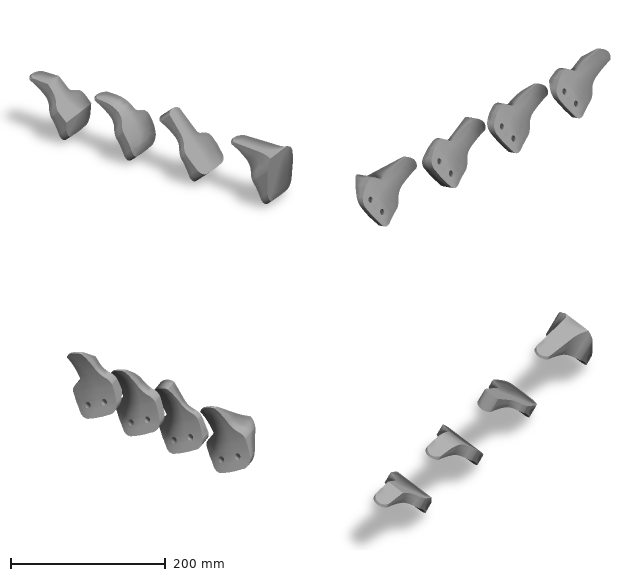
import cadquery as cq
import math

DEPTH_ANGLE = 43.0
COS = math.cos(math.radians(DEPTH_ANGLE))
SIN = math.sin(math.radians(DEPTH_ANGLE))

CHAMFERED_X = 0.0
ROUNDED_X = 100.0
FLAT_X = 200.0
SQUARE_X = 310.0

HALF_WIDTH = 30.37
TIP_ALONG = -47.8
FOOT_ALONG = 47.87
NECK_START_ALONG = -42.8
NECK_END_ALONG = -7.5
FOOT_CORNER_ALONG = 36.5

HOLLOW_RADIUS = 91.0
HOLLOW_DEPTH = -41.4
HOLLOW_ALONG = -0.6

HOLE_DIAMETER = 8.0
HOLE_SPACING = 25.4
HOLE_ALONG = 31.5
HOLE_MIDDLE_Y = 1.3
HOLE_FLOOR_DEPTH = -42.0

CHAMFER = 37.8
CHAMFERED_WALL_X = 0.3
ROUNDED_FOOT_X = 1.7
ROUNDED_START_X = -76.0
ROUNDED_CREST = [(-57.0, -0.2), (-39.0, -2.3), (-20.3, -14.8), (-4.1, -38.9)]
ROUNDED_FOOT_Z = -65.0
FLAT_BACK_DEPTH = -31.25
SQUARE_WALL_X = -0.5
LIP_TOP_Z = -65.0
LIP_X = 0.69

REACH = 120.0
START_DEPTH = -80.0


def pad_plane(depth):
    """Plane across the depth direction: local x runs tip to foot, local y is Y."""
    return cq.Plane(
        origin=(depth * COS, 0, depth * SIN),
        xDir=(SIN, 0, -COS),
        normal=(COS, 0, SIN),
    )


def outline_prism():
    """Narrow neck widening through an S-curve on each side into a rounded foot."""
    return (
        cq.Workplane(pad_plane(START_DEPTH))
        .moveTo(-44.6, -10.8)
        .threePointArc((TIP_ALONG, -0.8), (NECK_START_ALONG, 10.9))
        .lineTo(NECK_END_ALONG, 12.1)
        .threePointArc((-2.0, 13.9), (0.2, 18.5))
        .lineTo(2.2, 21.5)
        .threePointArc((5.9, 27.7), (13.0, HALF_WIDTH))
        .lineTo(24.0, HALF_WIDTH)
        .lineTo(FOOT_CORNER_ALONG, 28.0)
        .threePointArc((43.8, 24.4), (47.2, 17.0))
        .threePointArc((FOOT_ALONG, 4.0), (47.0, -15.5))
        .threePointArc((43.7, -25.3), (FOOT_CORNER_ALONG, -29.5))
        .threePointArc((24.0, -30.15), (11.0, -HALF_WIDTH))
        .threePointArc((5.0, -28.0), (0.2, -23.8))
        .threePointArc((-8.0, -18.0), (-18.4, -15.4))
        .lineTo(NECK_START_ALONG, -12.4)
        .close()
        .extrude(2 * REACH)
    )


def hollow():
    """Cylinder along Y that scoops the underside."""
    centre_depth = HOLLOW_DEPTH - HOLLOW_RADIUS
    centre_x = centre_depth * COS + HOLLOW_ALONG * SIN
    centre_z = centre_depth * SIN - HOLLOW_ALONG * COS
    return (
        cq.Workplane("XZ", origin=(centre_x, REACH / 2, centre_z))
        .circle(HOLLOW_RADIUS)
        .extrude(REACH)
    )


def holes():
    """Two blind holes along the depth direction, open at the underside."""
    return (
        cq.Workplane(pad_plane(HOLE_FLOOR_DEPTH))
        .pushPoints([(HOLE_ALONG, HOLE_MIDDLE_Y + side * HOLE_SPACING / 2) for side in (-1, 1)])
        .circle(HOLE_DIAMETER / 2)
        .extrude(START_DEPTH - HOLE_FLOOR_DEPTH)
    )


def side_profile():
    """Empty sketch in X and Z, beside the pad, to be extruded right across it."""
    return cq.Workplane("XZ", origin=(0, REACH / 2, 0))


def pad(back, x):
    """Pad whose back is cut to the side profile `back`, placed at `x`."""
    blank = outline_prism().intersect(back.extrude(REACH))
    return blank.cut(hollow()).cut(holes()).translate((x, 0, 0)).solids()


def chamfered_back():
    """Level top and upright wall joined by a wide chamfer."""
    return (
        side_profile()
        .moveTo(-REACH, 0)
        .lineTo(-CHAMFER, 0)
        .lineTo(CHAMFERED_WALL_X, -CHAMFER - CHAMFERED_WALL_X)
        .lineTo(CHAMFERED_WALL_X, -REACH)
        .lineTo(-REACH, -REACH)
        .close()
    )


def rounded_back():
    """Level top that curves smoothly over and down to the foot."""
    return (
        side_profile()
        .moveTo(-REACH, 0)
        .lineTo(ROUNDED_START_X, 0)
        .spline(
            ROUNDED_CREST + [(ROUNDED_FOOT_X, ROUNDED_FOOT_Z)],
            tangents=[(1, 0), (0, -1)],
            includeCurrent=True,
        )
        .lineTo(ROUNDED_FOOT_X, -REACH)
        .lineTo(-REACH, -REACH)
        .close()
    )


def flat_back():
    """Plane parallel to the outline."""
    top = (FLAT_BACK_DEPTH * COS - REACH * SIN, FLAT_BACK_DEPTH * SIN + REACH * COS)
    bottom = (FLAT_BACK_DEPTH * COS + REACH * SIN, FLAT_BACK_DEPTH * SIN - REACH * COS)
    return side_profile().polyline([top, bottom, (-REACH, -REACH)]).close()


def square_back():
    """Level top and upright wall meeting at a sharp corner, with a small lip at the foot."""
    return (
        side_profile()
        .moveTo(-REACH, 0)
        .lineTo(SQUARE_WALL_X, 0)
        .lineTo(SQUARE_WALL_X, LIP_TOP_Z)
        .lineTo(LIP_X, LIP_TOP_Z)
        .lineTo(LIP_X, -REACH)
        .lineTo(-REACH, -REACH)
        .close()
    )


chamfered_pad = pad(chamfered_back(), CHAMFERED_X)
rounded_pad = pad(rounded_back(), ROUNDED_X)
flat_pad = pad(flat_back(), FLAT_X)
square_pad = pad(square_back(), SQUARE_X)

result = cq.Compound.makeCompound(
    [chamfered_pad.val(), rounded_pad.val(), flat_pad.val(), square_pad.val()]
)